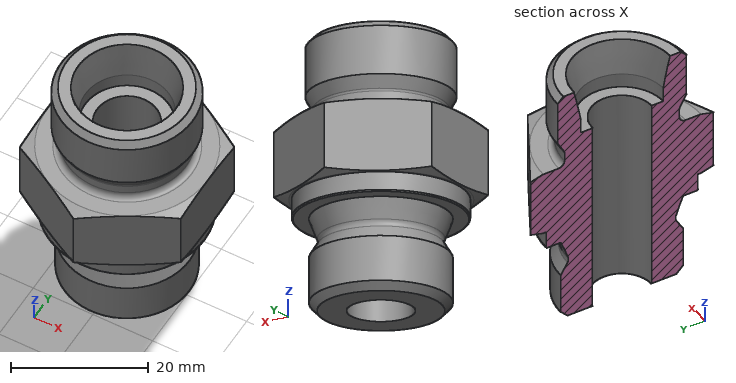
import cadquery as cq
import math

total_height = 41.0
hex_width = 27.0
hex_bottom = 16.97
hex_top = 28.0
hex_face_diameter = 26.9
hex_chamfer_angle = 15.0

upper_diameter = 22.0
upper_chamfer = 1.0
upper_thread_bottom = 32.65
upper_neck_diameter = 19.7
upper_cone_angle = 30.0
upper_neck_fillet = 1.0
upper_neck_blend = 0.75

collar_diameter = 26.0
collar_bottom = 14.02
collar_chamfer = 0.2
lower_diameter = 20.95
lower_thread_top = 8.05
lower_chamfer = 1.2
lower_neck_diameter = 18.35
lower_groove_top = 11.0
lower_groove_bottom = 9.92
lower_groove_edge_diameter = 18.6

bore_diameter = 10.0
socket_diameter = 14.0
socket_depth = 7.9
mouth_diameter = 16.3
mouth_cone_depth = 5.5


def turned_body():
    """Revolve the outer profile of both ends, the necks and the collar."""
    upper_radius = upper_diameter / 2
    upper_neck_radius = upper_neck_diameter / 2
    collar_radius = collar_diameter / 2
    lower_radius = lower_diameter / 2
    groove_edge_radius = lower_groove_edge_diameter / 2
    groove_middle = (lower_groove_top + lower_groove_bottom) / 2
    arc_inset = upper_neck_fillet * (1 - math.sqrt(0.5))
    cone_angle = math.radians(upper_cone_angle)
    neck_corner = upper_thread_bottom - (upper_radius - upper_neck_radius) / math.tan(cone_angle)
    blend_start = neck_corner - upper_neck_blend * math.tan(cone_angle / 2)
    blend_end = blend_start + upper_neck_blend * math.sin(cone_angle)
    blend_end_radius = upper_neck_radius + upper_neck_blend * (1 - math.cos(cone_angle))
    profile = (
        cq.Workplane("XZ")
        .lineTo(lower_radius - lower_chamfer, 0)
        .lineTo(lower_radius, lower_chamfer)
        .lineTo(lower_radius, lower_thread_top)
        .lineTo(groove_edge_radius, lower_groove_bottom)
        .threePointArc((lower_neck_diameter / 2, groove_middle), (groove_edge_radius, lower_groove_top))
        .lineTo(lower_radius, collar_bottom)
        .lineTo(collar_radius - collar_chamfer, collar_bottom)
        .lineTo(collar_radius, collar_bottom + collar_chamfer)
        .lineTo(collar_radius, hex_top)
        .lineTo(upper_neck_radius + upper_neck_fillet, hex_top)
        .threePointArc(
            (upper_neck_radius + arc_inset, hex_top + arc_inset),
            (upper_neck_radius, hex_top + upper_neck_fillet),
        )
        .lineTo(upper_neck_radius, blend_start)
        .tangentArcPoint((blend_end_radius, blend_end), relative=False)
        .lineTo(upper_radius, upper_thread_bottom)
        .lineTo(upper_radius, total_height - upper_chamfer)
        .lineTo(upper_radius - upper_chamfer, total_height)
        .lineTo(0, total_height)
        .close()
    )
    return profile.revolve(360, (0, 0), (0, 1))


def hexagon():
    """Hexagon with corners on Y, its corners chamfered conically at both ends."""
    corner_radius = hex_width / math.sqrt(3)
    face_radius = hex_face_diameter / 2
    corner_drop = (corner_radius - face_radius) * math.tan(math.radians(hex_chamfer_angle))
    prism = (
        cq.Workplane("XY", origin=(0, 0, hex_bottom))
        .polygon(6, 2 * corner_radius)
        .extrude(hex_top - hex_bottom)
        .rotate((0, 0, 0), (0, 0, 1), 30)
    )
    chamfer_envelope = (
        cq.Workplane("XZ")
        .moveTo(0, hex_bottom)
        .lineTo(face_radius, hex_bottom)
        .lineTo(corner_radius, hex_bottom + corner_drop)
        .lineTo(corner_radius, hex_top - corner_drop)
        .lineTo(face_radius, hex_top)
        .lineTo(0, hex_top)
        .close()
        .revolve(360, (0, 0), (0, 1))
    )
    return prism.intersect(chamfer_envelope)


def bore():
    """Through bore with a stepped socket and a tapered mouth at the top."""
    bore_radius = bore_diameter / 2
    socket_radius = socket_diameter / 2
    return (
        cq.Workplane("XZ")
        .lineTo(bore_radius, 0)
        .lineTo(bore_radius, total_height - socket_depth)
        .lineTo(socket_radius, total_height - socket_depth)
        .lineTo(socket_radius, total_height - mouth_cone_depth)
        .lineTo(mouth_diameter / 2, total_height)
        .lineTo(0, total_height)
        .close()
        .revolve(360, (0, 0), (0, 1))
    )


result = turned_body().union(hexagon()).cut(bore())